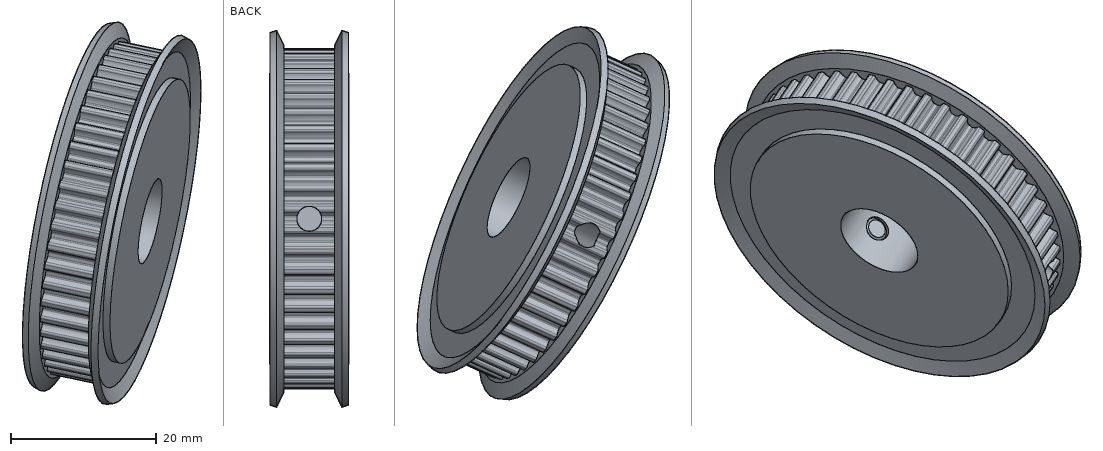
import cadquery as cq
import math

TOOTH_COUNT = 50
PITCH_ANGLE = 360 / TOOTH_COUNT
TIP_RADIUS = 23.45
TOOTH_WIDTH = 7.0
HUB_RADIUS = 20.0
OVERALL_WIDTH = 11.0
BORE_RADIUS = 6.0

ROOT_HALF_WIDTH = 0.25
ROOT_FILLET = 0.25
WALL_RADIUS = 1.55
WALL_TOP_LEAN = 12
GROOVE_HALF_WIDTH = 0.9
TIP_ROUNDING = 0.3

FLANGE_RADIUS = 26.0
SHEET_THICKNESS = 1.0
INNER_BEND_RADIUS = 23.95
OUTER_BEND_RADIUS = 23.65
RIM_EDGE_RADIUS = 25.7
RIM_EDGE_REACH = 1.9

SCREW_RADIUS = 1.7
SCREW_GROOVES = (0, 33)
SCREW_LENGTH = 5.0
SCREW_CHAMFER = 0.4

screw_directions = [groove * PITCH_ANGLE for groove in SCREW_GROOVES]


def disc(radius, width):
    """Disc on the X axis, centred on the origin."""
    return cq.Workplane("YZ", origin=(-width / 2, 0, 0)).circle(radius).extrude(width)


def turned(shape, degrees):
    """Copy of a solid turned about the X axis."""
    return shape.rotate(cq.Vector(0, 0, 0), cq.Vector(1, 0, 0), degrees)


def arc_point(centre, radius, degrees):
    """Point of a circle in the YZ plane, at an angle from +Y towards +Z."""
    angle = math.radians(degrees)
    return (centre[0] + radius * math.cos(angle), centre[1] + radius * math.sin(angle))


def mirrored(point):
    return (point[0], -point[1])


def tooth_groove():
    """Cutter for the groove on the +Y side, with tangent arcs from the root to the tooth tips."""
    tip_across = GROOVE_HALF_WIDTH + TIP_ROUNDING * math.cos(math.radians(WALL_TOP_LEAN))
    tip_along = math.sqrt((TIP_RADIUS - TIP_ROUNDING) ** 2 - tip_across**2)
    tip_centre = (tip_along, tip_across)
    tip_angle = math.degrees(math.atan2(tip_across, tip_along))
    tip_end = arc_point(tip_centre, TIP_ROUNDING, tip_angle)
    tip_middle = arc_point(tip_centre, TIP_ROUNDING, (tip_angle + WALL_TOP_LEAN - 90) / 2)
    wall_top = arc_point(tip_centre, TIP_ROUNDING, WALL_TOP_LEAN - 90)

    wall_centre = arc_point(tip_centre, TIP_ROUNDING + WALL_RADIUS, WALL_TOP_LEAN - 90)
    fillet_across = ROOT_HALF_WIDTH - wall_centre[1]
    wall_foot_angle = 180 - math.degrees(math.asin(fillet_across / (WALL_RADIUS - ROOT_FILLET)))
    wall_middle = arc_point(wall_centre, WALL_RADIUS, (90 + WALL_TOP_LEAN + wall_foot_angle) / 2)
    fillet_centre = arc_point(wall_centre, WALL_RADIUS - ROOT_FILLET, wall_foot_angle)
    fillet_top = arc_point(fillet_centre, ROOT_FILLET, wall_foot_angle)
    fillet_middle = arc_point(fillet_centre, ROOT_FILLET, (180 + wall_foot_angle) / 2)
    root_end = arc_point(fillet_centre, ROOT_FILLET, 180)
    outside = (TIP_RADIUS + 0.5, tip_end[1])

    return (
        cq.Workplane("YZ", origin=(-TOOTH_WIDTH / 2, 0, 0))
        .moveTo(*mirrored(root_end))
        .lineTo(*root_end)
        .threePointArc(fillet_middle, fillet_top)
        .threePointArc(wall_middle, wall_top)
        .threePointArc(tip_middle, tip_end)
        .lineTo(*outside)
        .lineTo(*mirrored(outside))
        .lineTo(*mirrored(tip_end))
        .threePointArc(mirrored(tip_middle), mirrored(wall_top))
        .threePointArc(mirrored(wall_middle), mirrored(fillet_top))
        .threePointArc(mirrored(fillet_middle), mirrored(root_end))
        .close()
        .extrude(TOOTH_WIDTH)
    )


def radial_cylinder(start, length, direction):
    """Cylinder of the screw radius along a direction square to X, from a distance off the X axis."""
    cylinder = cq.Solid.makeCylinder(
        SCREW_RADIUS, length, cq.Vector(0, start, 0), cq.Vector(0, 1, 0)
    )
    return turned(cylinder, direction)


def toothed_rim():
    groove = tooth_groove().val()
    grooves = [turned(groove, i * PITCH_ANGLE) for i in range(TOOTH_COUNT)]
    return cq.Workplane(disc(TIP_RADIUS, TOOTH_WIDTH).val().cut(*grooves))


def flange(side):
    """Flange on the +X (side = 1) or -X (side = -1) end of the teeth."""
    seat = TOOTH_WIDTH / 2
    outer_face = seat + SHEET_THICKNESS
    profile = [
        (seat, BORE_RADIUS),
        (seat, INNER_BEND_RADIUS),
        (outer_face, FLANGE_RADIUS),
        (seat + RIM_EDGE_REACH, RIM_EDGE_RADIUS),
        (outer_face, OUTER_BEND_RADIUS),
        (outer_face, BORE_RADIUS),
    ]
    points = [(side * x, radius) for x, radius in profile]
    return cq.Workplane("XY").polyline(points).close().revolve(360, (0, 0, 0), (1, 0, 0))


def make_pulley():
    pulley = toothed_rim().union(disc(HUB_RADIUS, OVERALL_WIDTH))
    for side in (-1, 1):
        pulley = pulley.union(flange(side))
    pulley = pulley.cut(disc(BORE_RADIUS, OVERALL_WIDTH))
    for direction in screw_directions:
        pulley = pulley.cut(cq.Workplane(radial_cylinder(0, FLANGE_RADIUS, direction)))
    return pulley


def make_set_screw(direction):
    screw = cq.Workplane(radial_cylinder(BORE_RADIUS, SCREW_LENGTH, 0))
    screw = screw.faces("<Y").chamfer(SCREW_CHAMFER)
    return turned(screw.val(), direction)


pulley = make_pulley()
set_screws = [make_set_screw(direction) for direction in screw_directions]
result = cq.Compound.makeCompound([pulley.val(), *set_screws])